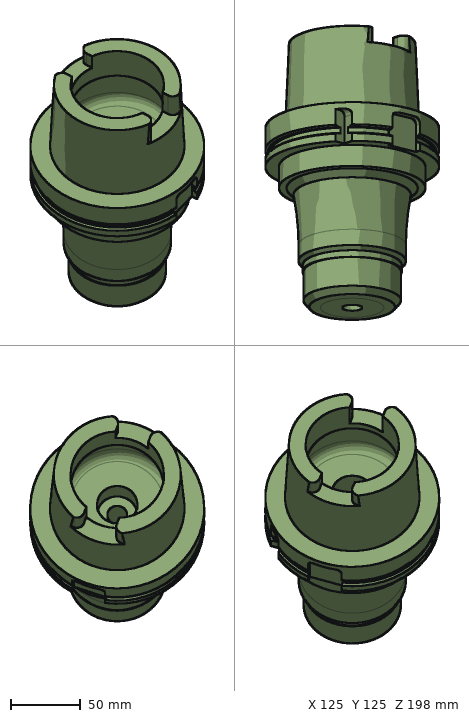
import cadquery as cq
import math

total_height = 198.0
shank_length = 63.0
shank_base_z = total_height - shank_length
flange_height = 29.1
flange_base_z = shank_base_z - flange_height

shank_top_radius = 45.5
shank_base_radius = 48.3
mouth_radius = 33.5
mouth_depth = 25.3
cavity_radius = 40.4
cavity_wall_depth = 49.9
cavity_corner_radius = cavity_radius - mouth_radius

flange_radius = 125.0 / 2
groove_floor_radius = 58.8
groove_mid_z = 115.0
groove_floor_width = 4.4
groove_mouth_width = 6.7
groove_bevel_run = 2.0

collar_radius = 52.7
collar_base_z = 90.0
cone_top_radius = 47.1
neck_top_radius = 42.2
neck_top_z = 85.0
neck_radius = 38.6
neck_base_z = 47.0
band_base_z = 35.0
shoulder_radius = 35.6
shoulder_top_z = 32.0
shoulder_base_z = 27.1
nose_radius = 35.0
nose_bevel_top_z = 5.5
nose_bevel_radius = 30.7
nose_bevel_base_z = 0.5
nose_tip_radius = 22.8

passage_radius = 7.1
counterbore_radius = 14.5
counterbore_depth = 19.8

slot_width = 25.0
slot_depth_minus_x = 11.9
slot_depth_plus_x = 19.2
tang_flat_x = 41.5
tang_corner_radius = 5.5

keyway_width = 25.3
keyway_top_z = 130.3
keyway_floor_x = 56.8
keyway_corner_radius = 4.4
notch_floor_x = 39.8
notch_wall_y = 39.6

overrun = 2.0


def turned_body():
    """Outer profile revolved about Z, without any bores or cuts."""
    flare_height = neck_top_z - neck_base_z
    flare_growth = neck_top_radius - neck_radius
    flare_radius = (flare_height**2 + flare_growth**2) / (2 * flare_growth)
    half_angle = math.asin(flare_height / flare_radius) / 2
    flare_middle = (
        neck_radius + flare_radius * (1 - math.cos(half_angle)),
        neck_base_z + flare_radius * math.sin(half_angle),
    )
    bevel_radius = flange_radius - groove_bevel_run
    half_floor = groove_floor_width / 2
    half_mouth = groove_mouth_width / 2
    profile = (
        cq.Workplane("YZ")
        .moveTo(0, 0)
        .lineTo(nose_tip_radius, 0)
        .lineTo(nose_bevel_radius, nose_bevel_base_z)
        .lineTo(nose_radius, nose_bevel_top_z)
        .lineTo(nose_radius, shoulder_base_z)
        .lineTo(shoulder_radius, shoulder_base_z)
        .lineTo(shoulder_radius, shoulder_top_z)
        .lineTo(neck_radius, band_base_z)
        .lineTo(neck_radius, neck_base_z)
        .threePointArc(flare_middle, (neck_top_radius, neck_top_z))
        .lineTo(cone_top_radius, collar_base_z)
        .lineTo(collar_radius, collar_base_z)
        .lineTo(collar_radius, flange_base_z)
        .lineTo(flange_radius, flange_base_z)
        .lineTo(flange_radius, groove_mid_z - half_mouth)
        .lineTo(bevel_radius, groove_mid_z - half_floor)
        .lineTo(groove_floor_radius, groove_mid_z - half_floor)
        .lineTo(groove_floor_radius, groove_mid_z + half_floor)
        .lineTo(bevel_radius, groove_mid_z + half_floor)
        .lineTo(flange_radius, groove_mid_z + half_mouth)
        .lineTo(flange_radius, shank_base_z)
        .lineTo(shank_base_radius, shank_base_z)
        .lineTo(shank_top_radius, total_height)
        .lineTo(0, total_height)
        .close()
    )
    return profile.revolve(360, (0, 0), (0, 1))


def bores():
    """Shank mouth, wider cavity with a rounded floor corner, counterbore and through passage."""
    mouth_base_z = total_height - mouth_depth
    cavity_wall_base_z = total_height - cavity_wall_depth
    cavity_floor_z = cavity_wall_base_z - cavity_corner_radius
    counterbore_floor_z = cavity_floor_z - counterbore_depth
    profile = (
        cq.Workplane("YZ")
        .moveTo(0, 0)
        .lineTo(passage_radius, 0)
        .lineTo(passage_radius, counterbore_floor_z)
        .lineTo(counterbore_radius, counterbore_floor_z)
        .lineTo(counterbore_radius, cavity_floor_z)
        .lineTo(cavity_radius - cavity_corner_radius, cavity_floor_z)
        .radiusArc((cavity_radius, cavity_wall_base_z), -cavity_corner_radius)
        .lineTo(cavity_radius, mouth_base_z)
        .lineTo(mouth_radius, mouth_base_z)
        .lineTo(mouth_radius, total_height)
        .lineTo(0, total_height)
        .close()
    )
    return profile.revolve(360, (0, 0), (0, 1))


def drive_slot(side, depth):
    """Slot through the shank wall at +X (side = 1) or -X (side = -1).

    Beyond the tang flats the cut widens to clear the whole shank,
    and the tang corners beside the slot are rounded.
    """
    half_slot = slot_width / 2
    inner_x = mouth_radius / 2
    outer_x = shank_base_radius + overrun
    half_clear = shank_base_radius
    round_start_x = tang_flat_x - tang_corner_radius
    round_end_y = half_slot + tang_corner_radius
    return (
        cq.Workplane("XY")
        .workplane(offset=total_height - depth)
        .moveTo(side * inner_x, -half_slot)
        .lineTo(side * round_start_x, -half_slot)
        .radiusArc((side * tang_flat_x, -round_end_y), side * tang_corner_radius)
        .lineTo(side * tang_flat_x, -half_clear)
        .lineTo(side * outer_x, -half_clear)
        .lineTo(side * outer_x, half_clear)
        .lineTo(side * tang_flat_x, half_clear)
        .lineTo(side * tang_flat_x, round_end_y)
        .radiusArc((side * round_start_x, half_slot), side * tang_corner_radius)
        .lineTo(side * inner_x, half_slot)
        .close()
        .extrude(depth)
    )


def flange_cut(floor_x, start_y, end_y):
    """Block on the +X side open at the flange underside, with rounded upper corners."""
    block = cq.Workplane("XY").box(
        flange_radius - floor_x + overrun,
        end_y - start_y,
        keyway_top_z - flange_base_z,
        centered=False,
    )
    block = block.edges("|X and >Z").fillet(keyway_corner_radius)
    return block.translate((floor_x, start_y, flange_base_z))


keyway = flange_cut(keyway_floor_x, -keyway_width / 2, keyway_width / 2)
notch = flange_cut(notch_floor_x, notch_wall_y, flange_radius + overrun).mirror("YZ")

result = (
    turned_body()
    .cut(bores())
    .cut(drive_slot(-1, slot_depth_minus_x))
    .cut(drive_slot(1, slot_depth_plus_x))
    .cut(keyway)
    .cut(keyway.mirror("YZ"))
    .cut(notch)
)